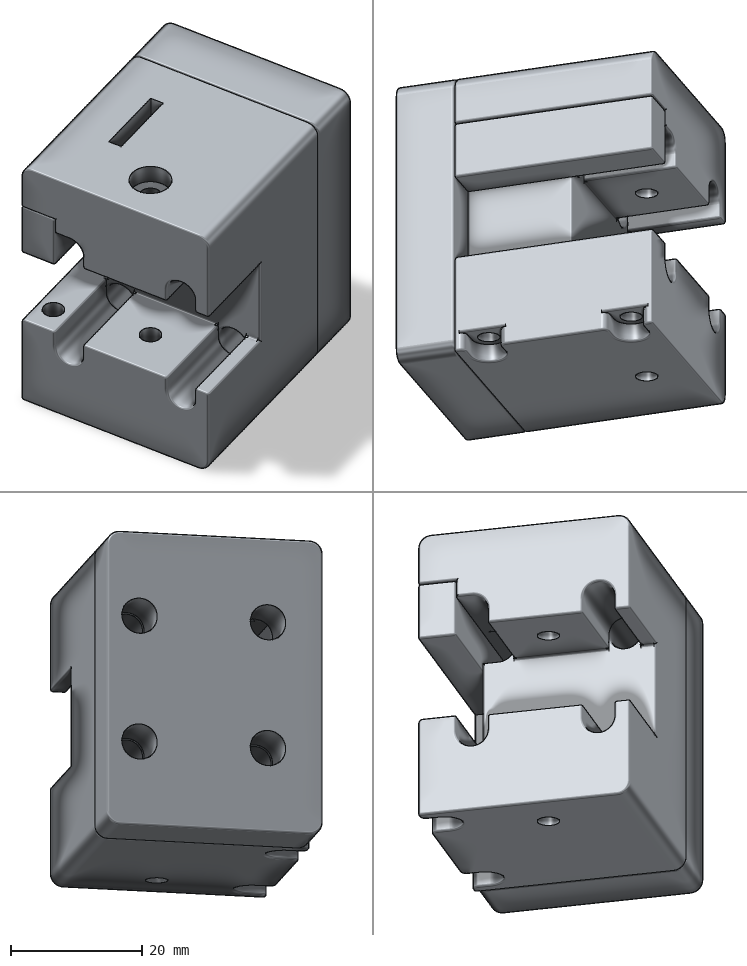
import cadquery as cq
import math

WIDTH = 33.5
HEIGHT = 46.0
BODY_DEPTH = 32.0
PLATE_DEPTH = 9.5
MID_Z = HEIGHT / 2
BACK_Y = BODY_DEPTH + PLATE_DEPTH

CORNER_RADIUS = 2.0
EDGE_RADIUS = 0.4
TOLERANCE = 1e-3

ROD_RADIUS = 2.5
PLATE_HOLE_RADIUS = 2.75
ROD_X_SPACING = 20.0
ROD_Z_SPACING = 19.7

GAP_HEIGHT = 15.0
GAP_DEPTH = 15.0
GAP_BOTTOM = MID_Z - GAP_HEIGHT / 2
GAP_TOP = MID_Z + GAP_HEIGHT / 2

RECESS_WIDTH = 6.0
RECESS_TOP = 38.0
LEDGE_Z = 15.9
BAR_BOTTOM = 29.0
LEDGE_OUTER_RADIUS = 0.7
LEDGE_INNER_RADIUS = 0.6

ROD_LEFT_X = RECESS_WIDTH + ROD_RADIUS
ROD_RIGHT_X = ROD_LEFT_X + ROD_X_SPACING
ROD_LOW_Z = MID_Z - ROD_Z_SPACING / 2
ROD_HIGH_Z = MID_Z + ROD_Z_SPACING / 2
ROD_CENTERS = [(x, z) for x in (ROD_LEFT_X, ROD_RIGHT_X) for z in (ROD_LOW_Z, ROD_HIGH_Z)]
SIDE_SLOT_BOTTOM = ROD_HIGH_Z - ROD_RADIUS
SIDE_SLOT_TOP = ROD_HIGH_Z + ROD_RADIUS

SCREW_RADIUS = 1.7
JAW_SCREW_X = (ROD_LEFT_X + ROD_RIGHT_X) / 2
JAW_SCREW_Y = 7.5
JAW_HEAD_RADIUS = 3.25
JAW_HEAD_DEPTH = 3.0
SIDE_SCREW_X = RECESS_WIDTH / 2
SIDE_SCREW_INSET = 4.5
SIDE_SCREW_YS = (SIDE_SCREW_INSET, BODY_DEPTH - SIDE_SCREW_INSET)
SIDE_HEAD_RADIUS = 2.75
SIDE_HEAD_DEPTH = 3.0
MOUTH_RADIUS = 1.0

SLOT_START_Y = 12.0
SLOT_LENGTH = 12.2
SLOT_WIDTH = 2.2
SLOT_FLOOR_RADIUS = 4.5
SLOT_AXIS_Z = 42.0


def box(x0, x1, y0, y1, z0, z1):
    return cq.Workplane("XY", origin=(x0, y0, z0)).box(x1 - x0, y1 - y0, z1 - z0, centered=False)


def cylinder_y(x, z, radius, y0, y1):
    return cq.Workplane("XZ", origin=(x, y0, z)).circle(radius).extrude(y0 - y1)


def cylinder_z(x, y, radius, z0, z1):
    return cq.Workplane("XY", origin=(x, y, z0)).circle(radius).extrude(z1 - z0)


def corner_sketch(plane, origin, u, v, radius=EDGE_RADIUS):
    """Region between a square corner at the origin and the arc that rounds it.

    u and v (+1 or -1) point the two sides along the local axes of the plane.
    """
    arc_middle = radius * (1 - math.sqrt(0.5))
    return (
        cq.Workplane(plane, origin=origin)
        .lineTo(u * radius, 0)
        .threePointArc((u * arc_middle, v * arc_middle), (0, v * radius))
        .close()
    )


def near(value, target):
    return abs(value - target) < TOLERANCE


def round_edges_where(shape, test, radius):
    """Round every edge whose bounding box passes the test."""
    edges = [edge for edge in shape.edges().vals() if test(edge.BoundingBox())]
    return shape.newObject(edges).fillet(radius)


def make_c_shape():
    """Block with the jaw opening and the side recess; its bottom left edge has no corner radius."""
    body = box(0, WIDTH, 0, BODY_DEPTH, 0, HEIGHT)
    body = body.edges("|Y").edges(">Z or >X").fillet(CORNER_RADIUS)
    body = body.cut(box(RECESS_WIDTH, WIDTH, 0, GAP_DEPTH, GAP_BOTTOM, GAP_TOP))
    return body.cut(box(0, RECESS_WIDTH, 0, BODY_DEPTH, LEDGE_Z, RECESS_TOP))


def cut_jaw_grooves(body):
    """Round-bottomed rod grooves open to the jaw; the upper left one also opens to the recess."""
    for x, z in ROD_CENTERS:
        body = body.cut(cylinder_y(x, z, ROD_RADIUS, 0, GAP_DEPTH))
        opening = box(x - ROD_RADIUS, x + ROD_RADIUS, 0, GAP_DEPTH, min(z, MID_Z), max(z, MID_Z))
        body = body.cut(opening)
    return body.cut(box(RECESS_WIDTH, ROD_LEFT_X, 0, BODY_DEPTH, SIDE_SLOT_BOTTOM, SIDE_SLOT_TOP))


def make_head_pocket(y):
    """Screw head pocket open to the side and the bottom, with rounded flanks and upper lip."""
    pocket = cylinder_z(SIDE_SCREW_X, y, SIDE_HEAD_RADIUS, 0, SIDE_HEAD_DEPTH)
    pocket = pocket.union(
        box(0, SIDE_SCREW_X, y - SIDE_HEAD_RADIUS, y + SIDE_HEAD_RADIUS, 0, SIDE_HEAD_DEPTH)
    )
    for side in (-1, 1):
        flank = corner_sketch("XY", (0, y + side * SIDE_HEAD_RADIUS, 0), 1, side, MOUTH_RADIUS)
        pocket = pocket.union(flank.extrude(SIDE_HEAD_DEPTH))
    mouth_half = SIDE_HEAD_RADIUS + MOUTH_RADIUS
    upper_lip = corner_sketch("XZ", (0, y + mouth_half, SIDE_HEAD_DEPTH), 1, 1)
    return pocket.union(upper_lip.extrude(2 * mouth_half))


def cut_head_pockets(body):
    for y in SIDE_SCREW_YS:
        body = body.cut(make_head_pocket(y))
    return body


def is_outer_ledge_edge(b):
    return near(b.xmax, 0) and near(b.zmin, LEDGE_Z) and near(b.zmax, LEDGE_Z)


def is_small_radius_edge(b):
    level = near(b.zmin, b.zmax)
    along_y = level and near(b.xmin, b.xmax)
    front_or_back = near(b.ymax, 0) or near(b.ymin, BODY_DEPTH)
    recess_top = level and near(b.xmax, 0) and near(b.zmin, RECESS_TOP)
    pocket_rim = b.ymin > 0 and b.ymax < BODY_DEPTH
    underside = near(b.zmax, 0) and (near(b.xmax, 0) or pocket_rim)
    at_jaw_face = near(b.zmin, GAP_BOTTOM) or near(b.zmin, GAP_TOP)
    beside_jaw = b.xmin > RECESS_WIDTH + TOLERANCE and b.ymax < GAP_DEPTH + TOLERANCE
    jaw_lip = along_y and at_jaw_face and beside_jaw
    in_front_of_spine = b.ymin < GAP_DEPTH / 2
    ledge_lip = along_y and near(b.xmin, RECESS_WIDTH) and near(b.zmin, LEDGE_Z) and in_front_of_spine
    spine_right = near(b.xmin, WIDTH) and near(b.ymin, GAP_DEPTH) and near(b.ymax, GAP_DEPTH)
    return front_or_back or recess_top or underside or jaw_lip or ledge_lip or spine_right


def round_spine(body):
    """Round the spine's free left edge and fill its inside corners at the ledge and the jaws."""
    left_edge = corner_sketch("XY", (RECESS_WIDTH, GAP_DEPTH, LEDGE_Z), 1, 1)
    body = body.cut(left_edge.extrude(SIDE_SLOT_BOTTOM - LEDGE_Z))

    ledge_corner = corner_sketch(
        "XZ", (RECESS_WIDTH, BODY_DEPTH - EDGE_RADIUS, LEDGE_Z), -1, 1, LEDGE_INNER_RADIUS
    )
    body = body.union(ledge_corner.extrude(BODY_DEPTH - GAP_DEPTH - 2 * EDGE_RADIUS))

    spans = (
        (ROD_LEFT_X + ROD_RADIUS, ROD_RIGHT_X - ROD_RADIUS),
        (ROD_RIGHT_X + ROD_RADIUS, WIDTH - EDGE_RADIUS),
    )
    for x0, x1 in spans:
        for z, inward in ((GAP_BOTTOM, 1), (GAP_TOP, -1)):
            jaw_corner = corner_sketch("YZ", (x0, GAP_DEPTH, z), -1, inward)
            body = body.union(jaw_corner.extrude(x1 - x0))
    return body


def cut_spine_holes(body):
    """Rod holes through the spine with rounded rims."""
    for x, z in ROD_CENTERS:
        body = body.cut(cylinder_y(x, z, ROD_RADIUS, GAP_DEPTH, BODY_DEPTH))
        rim = corner_sketch("XY", (x + ROD_RADIUS, GAP_DEPTH, z), 1, 1)
        body = body.cut(rim.revolve(360, (-ROD_RADIUS, 0, 0), (-ROD_RADIUS, 1, 0)))
    slot_lip = corner_sketch("YZ", (RECESS_WIDTH, GAP_DEPTH, SIDE_SLOT_BOTTOM), 1, -1)
    return body.cut(slot_lip.extrude(ROD_RADIUS))


def cut_screw_holes(body):
    """Counterbored screw through both jaws, and two screws through the ledge."""
    body = body.cut(cylinder_z(JAW_SCREW_X, JAW_SCREW_Y, SCREW_RADIUS, 0, HEIGHT))
    head_floor = HEIGHT - JAW_HEAD_DEPTH
    body = body.cut(cylinder_z(JAW_SCREW_X, JAW_SCREW_Y, JAW_HEAD_RADIUS, head_floor, HEIGHT))
    for y in SIDE_SCREW_YS:
        body = body.cut(cylinder_z(SIDE_SCREW_X, y, SCREW_RADIUS, 0, LEDGE_Z))
    return body


def make_top_slot():
    end_y = SLOT_START_Y + SLOT_LENGTH
    right_x = RECESS_WIDTH + SLOT_FLOOR_RADIUS
    left_x = right_x - SLOT_WIDTH
    shaft = box(left_x, right_x, SLOT_START_Y, end_y, SLOT_AXIS_Z, HEIGHT)
    full_shaft = box(left_x, right_x, SLOT_START_Y, end_y, SLOT_AXIS_Z - SLOT_FLOOR_RADIUS, HEIGHT)
    floor = cylinder_y(RECESS_WIDTH, SLOT_AXIS_Z, SLOT_FLOOR_RADIUS, SLOT_START_Y, end_y)
    return shaft.union(floor.intersect(full_shaft))


def make_body():
    body = cut_jaw_grooves(make_c_shape())
    body = cut_head_pockets(body)
    body = round_edges_where(body, is_outer_ledge_edge, LEDGE_OUTER_RADIUS)
    body = round_edges_where(body, is_small_radius_edge, EDGE_RADIUS)
    body = cut_spine_holes(round_spine(body))
    return cut_screw_holes(body).cut(make_top_slot())


def make_clamp_bar():
    bar = box(0, RECESS_WIDTH, 0, BODY_DEPTH, BAR_BOTTOM, RECESS_TOP)
    return bar.edges().fillet(EDGE_RADIUS)


def make_back_plate():
    plate = box(0, WIDTH, BODY_DEPTH, BACK_Y, 0, HEIGHT)
    plate = plate.edges("|Y").fillet(CORNER_RADIUS)
    plate = plate.faces("<Y or >Y").edges().fillet(EDGE_RADIUS)
    for x, z in ROD_CENTERS:
        plate = plate.cut(cylinder_y(x, z, PLATE_HOLE_RADIUS, BODY_DEPTH, BACK_Y))
    return plate


clamp_body = make_body()
clamp_bar = make_clamp_bar()
back_plate = make_back_plate()

result = cq.Compound.makeCompound(
    [clamp_body.solids().val(), clamp_bar.solids().val(), back_plate.solids().val()]
)